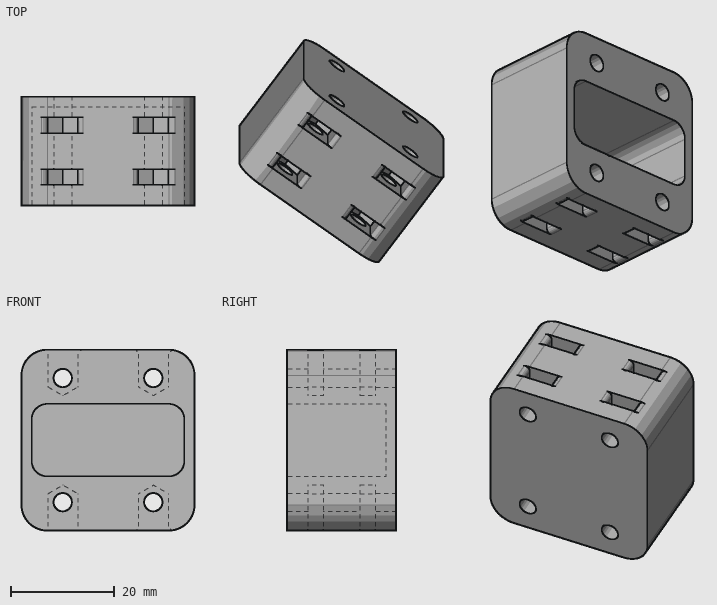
import cadquery as cq
import math

width = 33.5
depth = 21.1
height = 35.0
corner_radius = 5.0

wall = 2.0
pocket_width = width - 2 * wall
pocket_height = 14.0
pocket_depth = depth - wall
pocket_radius = corner_radius - wall

hole_diameter = 3.5
hole_x = 8.75
hole_z = 12.0

nut_across_flats = 5.8
slot_thickness = 3.0
slot_pitch = 10.0
mouth_radius = 1.0

front_y = -depth / 2
top_z = height / 2


def rounded_prism(size_x, size_z, length, radius):
    """Rounded rectangle in XZ, extruded along +Y from the -Y face."""
    return (
        cq.Workplane("XZ", origin=(0, front_y, 0))
        .rect(size_x, size_z)
        .extrude(-length)
        .edges("|Y")
        .fillet(radius)
    )


def bolt_holes():
    return (
        cq.Workplane("XZ", origin=(0, front_y, 0))
        .rect(2 * hole_x, 2 * hole_z, forConstruction=True)
        .vertices()
        .circle(hole_diameter / 2)
        .extrude(-depth)
    )


def mouth_arc_point(center_x, center_z, angle):
    """Point on a mouth rounding, with the angle measured from +Z toward +X."""
    return (
        center_x + mouth_radius * math.sin(angle),
        center_z + mouth_radius * math.cos(angle),
    )


def nut_slot(slot_y):
    """Upper slot on the +X side: V-shaped seat, straight flats and a rounded mouth."""
    half_width = nut_across_flats / 2
    inner_x = hole_x - half_width
    outer_x = hole_x + half_width
    vertex_drop = nut_across_flats / math.sqrt(3)
    flat_bottom = hole_z - vertex_drop / 2

    inner_center_x = inner_x - mouth_radius
    inner_center_z = top_z - mouth_radius

    corner_x = width / 2 - corner_radius
    corner_z = top_z - corner_radius
    outer_center_x = outer_x + mouth_radius
    tangent_angle = math.asin((outer_center_x - corner_x) / (corner_radius - mouth_radius))
    outer_center_z = corner_z + (corner_radius - mouth_radius) * math.cos(tangent_angle)
    outer_end = mouth_arc_point(outer_center_x, outer_center_z, tangent_angle)
    outer_middle_angle = (tangent_angle - math.pi / 2) / 2

    return (
        cq.Workplane("XZ", origin=(0, slot_y - slot_thickness / 2, 0))
        .moveTo(hole_x, hole_z - vertex_drop)
        .lineTo(outer_x, flat_bottom)
        .lineTo(outer_x, outer_center_z)
        .threePointArc(mouth_arc_point(outer_center_x, outer_center_z, outer_middle_angle), outer_end)
        .lineTo(outer_end[0], top_z)
        .lineTo(inner_center_x, top_z)
        .threePointArc(
            mouth_arc_point(inner_center_x, inner_center_z, math.pi / 4),
            (inner_x, inner_center_z),
        )
        .lineTo(inner_x, flat_bottom)
        .close()
        .extrude(-slot_thickness)
    )


result = rounded_prism(width, height, depth, corner_radius)
result = result.cut(rounded_prism(pocket_width, pocket_height, pocket_depth, pocket_radius))
result = result.cut(bolt_holes())
for slot_y in (-slot_pitch / 2, slot_pitch / 2):
    upper_right_slot = nut_slot(slot_y)
    upper_left_slot = upper_right_slot.mirror("YZ")
    for upper_slot in (upper_right_slot, upper_left_slot):
        result = result.cut(upper_slot).cut(upper_slot.mirror("XY"))